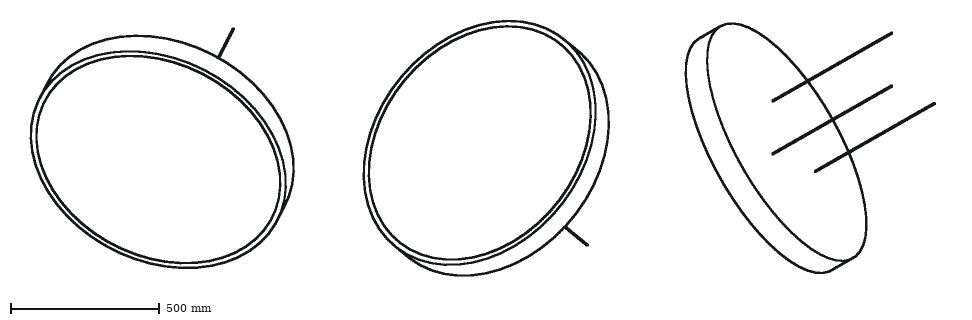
import cadquery as cq
import math

disc_diameter = 900.0
disc_thickness = 90.0
overall_depth = 590.0
panel_diameter = 860.0
panel_recess = 2.0
rod_diameter = 4.0
rod_circle_radius = 160.0
rod_count = 3

rod_length = overall_depth - disc_thickness


def cylinder_along_y(diameter, start_y, length, x=0.0, z=0.0):
    """Solid cylinder running from start_y towards +Y."""
    return cq.Workplane(
        cq.Solid.makeCylinder(diameter / 2, length, cq.Vector(x, start_y, z), cq.Vector(0, 1, 0))
    )


result = cylinder_along_y(disc_diameter, 0.0, disc_thickness)

recess = cylinder_along_y(panel_diameter, 0.0, panel_recess)
result = result.cut(recess)

for index in range(rod_count):
    angle = math.pi + index * 2 * math.pi / rod_count
    rod_x = rod_circle_radius * math.cos(angle)
    rod_z = rod_circle_radius * math.sin(angle)
    rod = cylinder_along_y(
        rod_diameter, disc_thickness / 2, disc_thickness / 2 + rod_length, rod_x, rod_z
    )
    result = result.union(rod)